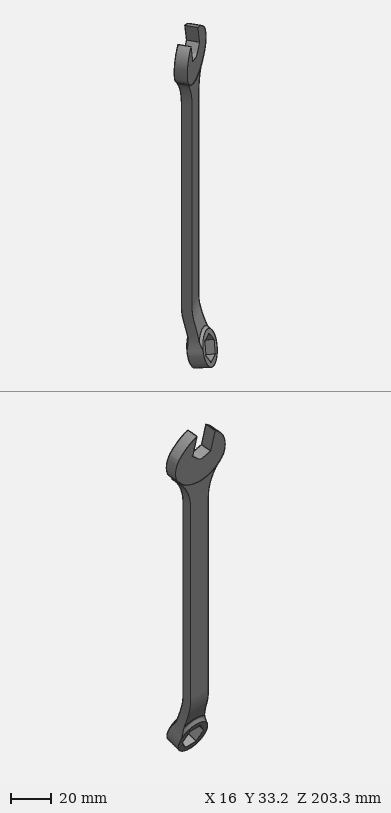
import cadquery as cq
import math

JAW_SIZE = 12.4
HANDLE_WIDTH = 12.0
HANDLE_THICKNESS = 5.5

HEAD_THICKNESS = 6.7
HEAD_BOTTOM_Z = 174.0
HEAD_CORNER = (15.6, 182.7)
LONG_TIP = (-1.6, 203.5)
SHORT_TIP = (10.0, 200.2)
LONG_SIDE_JOINT = (-14.2, 194.7)
SHORT_SIDE_MID = (16.15, 191.6)
LONG_SIDE_MID = (-16.5, 188.8)
LONG_TIP_MID = (-8.5, 200.0)
JAW_CENTER = (1.8, 194.0)
JAW_TILT = 15
JAW_LENGTH = 24.4
JAW_FLOOR_FILLET = 3.5
HEAD_FLARE_RADIUS = 26.5
HEAD_FLARE_START_Z = 160.5
HEAD_FLARE_RISE = 18.3
HEAD_FILLET = 1.5

BEND_Z = 33.7
BEND_ANGLE = 15
BEND_RADIUS = 32.5
RING_DISTANCE = 24.2
RING_OFFSET = -0.2
RING_RADIUS = 9.5
RING_THICKNESS = 8.5
RING_FLARE_RADIUS = 40.6
RING_FILLET = 3.0

half_width = HANDLE_WIDTH / 2
half_handle = HANDLE_THICKNESS / 2
half_head = HEAD_THICKNESS / 2
half_ring = RING_THICKNESS / 2
hex_diameter = JAW_SIZE / math.cos(math.pi / 6)
bend = math.radians(BEND_ANGLE)
bend_tangent = BEND_RADIUS * math.tan(bend / 2)


def upright_plane():
    """Middle plane facing -X: local x is across (-Y), local y is up (Z)."""
    return cq.Plane(origin=(0, 0, 0), xDir=(0, -1, 0), normal=(-1, 0, 0))


def extrude_centred(outline, thickness):
    return outline.extrude(thickness / 2, both=True)


def fillet_reach(radius, step):
    """Length a fillet covers on the lower face beside a step less than its radius high."""
    return math.sqrt(radius**2 - (radius - step)**2)


def head_outline():
    x, z = HEAD_CORNER
    return (
        cq.Workplane(upright_plane())
        .moveTo(-x, z)
        .threePointArc((0, HEAD_BOTTOM_Z), (x, z))
        .threePointArc(SHORT_SIDE_MID, SHORT_TIP)
        .lineTo(*LONG_TIP)
        .threePointArc(LONG_TIP_MID, LONG_SIDE_JOINT)
        .threePointArc(LONG_SIDE_MID, (-x, z))
        .close()
    )


def head_flare(thickness):
    """Handle sides sweeping outward, tangent to the straight handle."""
    def side(rise):
        return half_width + HEAD_FLARE_RADIUS - math.sqrt(HEAD_FLARE_RADIUS**2 - rise**2)

    top = HEAD_FLARE_START_Z + HEAD_FLARE_RISE
    middle = HEAD_FLARE_START_Z + HEAD_FLARE_RISE / 2
    wide = side(HEAD_FLARE_RISE)
    mid = side(HEAD_FLARE_RISE / 2)
    outline = (
        cq.Workplane(upright_plane())
        .moveTo(-half_width, HEAD_FLARE_START_Z)
        .lineTo(half_width, HEAD_FLARE_START_Z)
        .threePointArc((mid, middle), (wide, top))
        .lineTo(-wide, top)
        .threePointArc((-mid, middle), (-half_width, HEAD_FLARE_START_Z))
        .close()
    )
    return extrude_centred(outline, thickness)


def fillet_collar(radius, half_low, half_high, fillet):
    """Disc about local Z whose two faces blend down to a thinner plate by concave fillets."""
    step = half_high - half_low
    reach = fillet_reach(fillet, step)
    arc_angle = math.acos((fillet - step) / fillet) / 2
    mid_radius = radius + reach - fillet * math.sin(arc_angle)
    mid_height = half_low + fillet * (1 - math.cos(arc_angle))
    return (
        cq.Workplane("XZ")
        .moveTo(0, -half_high)
        .lineTo(radius, -half_high)
        .threePointArc((mid_radius, -mid_height), (radius + reach, -half_low))
        .lineTo(radius + reach, half_low)
        .threePointArc((mid_radius, mid_height), (radius, half_high))
        .lineTo(0, half_high)
        .close()
        .revolve(360, (0, 0, 0), (0, 1, 0))
    )


def open_end():
    head = extrude_centred(head_outline(), HEAD_THICKNESS)
    corner_rise = HEAD_CORNER[1] - HEAD_BOTTOM_Z
    bottom_radius = (HEAD_CORNER[0]**2 + corner_rise**2) / (2 * corner_rise)
    collar = (
        fillet_collar(bottom_radius, half_handle, half_head, HEAD_FILLET)
        .rotate((0, 0, 0), (0, 1, 0), 90)
        .translate((0, 0, HEAD_BOTTOM_Z + bottom_radius))
    )
    blend = collar.intersect(head_flare(HEAD_THICKNESS))
    return head.union(head_flare(HANDLE_THICKNESS)).union(blend)


def jaw_opening():
    """Tilted slot whose floor is half of a hexagon with a rounded lowest corner."""
    plane = upright_plane()
    hexagon = cq.Workplane(plane).transformed(rotate=(0, 0, 90)).polygon(6, hex_diameter)
    slot = cq.Workplane(plane).center(0, JAW_LENGTH / 2).rect(JAW_SIZE, JAW_LENGTH)
    opening = extrude_centred(hexagon, 2 * HEAD_THICKNESS).union(
        extrude_centred(slot, 2 * HEAD_THICKNESS)
    )
    opening = opening.edges("|X").edges("<Z").fillet(JAW_FLOOR_FILLET)
    across, z = JAW_CENTER
    return opening.rotate((0, 0, 0), (1, 0, 0), JAW_TILT).translate((0, -across, z))


def handle():
    """Straight bar followed by the bend towards the ring."""
    bend_start = BEND_Z + bend_tangent
    section = cq.Workplane("XY", origin=(0, 0, bend_start)).rect(HANDLE_THICKNESS, HANDLE_WIDTH)
    bar = section.extrude(HEAD_FLARE_START_Z - bend_start)
    elbow = (
        cq.Workplane("XY", origin=(0, 0, bend_start))
        .rect(HANDLE_THICKNESS, HANDLE_WIDTH)
        .revolve(BEND_ANGLE, (BEND_RADIUS, 2, 0), (BEND_RADIUS, -2, 0))
    )
    return bar.union(elbow)


def ring_neck_outline(plane):
    """Bent handle widening with arcs tangent to both the handle and the ring."""
    arc_y = half_width + RING_FLARE_RADIUS
    span = RING_RADIUS + RING_FLARE_RADIUS
    flare_start = math.sqrt(span**2 - arc_y**2)
    join_y = arc_y * RING_RADIUS / span
    join_x = flare_start * RING_RADIUS / span
    neck_end = RING_DISTANCE - bend_tangent
    return (
        cq.Workplane(plane)
        .moveTo(0, -join_y)
        .lineTo(join_x, -join_y)
        .radiusArc((flare_start, -half_width), RING_FLARE_RADIUS)
        .lineTo(neck_end, -half_width)
        .lineTo(neck_end, half_width)
        .lineTo(flare_start, half_width)
        .radiusArc((join_x, join_y), RING_FLARE_RADIUS)
        .lineTo(0, join_y)
        .close()
    )


def ring_end():
    """Ring in its own frame (axis along Z, handle towards +X), then tilted into place."""
    middle = cq.Plane.XY()
    neck_middle = cq.Plane(origin=(0, 0, -RING_OFFSET))
    neck = extrude_centred(ring_neck_outline(neck_middle), HANDLE_THICKNESS)
    envelope = extrude_centred(ring_neck_outline(middle), RING_THICKNESS)
    blend = fillet_collar(RING_RADIUS, half_handle, half_ring, RING_FILLET).intersect(envelope)
    body = extrude_centred(cq.Workplane(middle).circle(RING_RADIUS), RING_THICKNESS)
    hexagon = cq.Workplane(middle).transformed(rotate=(0, 0, 90)).polygon(6, hex_diameter)
    opening = extrude_centred(hexagon, 2 * RING_THICKNESS)
    ring = body.union(neck).union(blend).cut(opening)

    toward_handle = cq.Vector(-math.sin(bend), 0, math.cos(bend))
    ring_axis = cq.Vector(math.cos(bend), 0, math.sin(bend))
    center = cq.Vector(0, 0, BEND_Z) - toward_handle * RING_DISTANCE + ring_axis * RING_OFFSET
    tilted = cq.Plane(origin=center, xDir=toward_handle, normal=ring_axis)
    return cq.Workplane(obj=ring.val().moved(cq.Location(tilted)))


result = handle().union(open_end()).union(ring_end()).cut(jaw_opening())